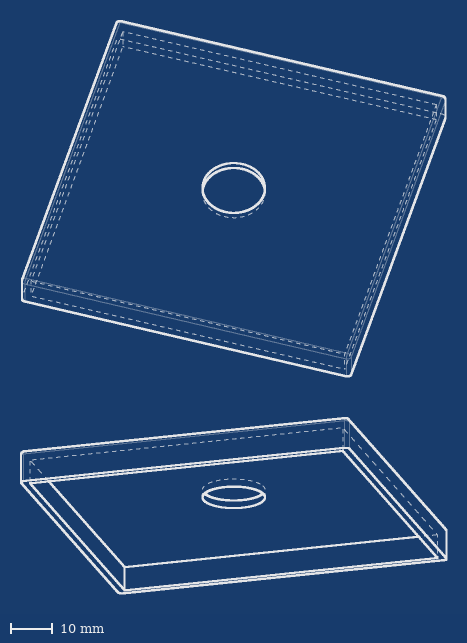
import cadquery as cq

side = 82.55
height = 7.9
wall = 2.0
edge_radius = 1.0
hole_diameter = 15.0

cover = cq.Workplane("XY").box(side, side, height, centered=(True, True, False))
cover = cover.edges("|Z or >Z").fillet(edge_radius)

inner_side = side - 2 * wall
cavity = cq.Workplane("XY").box(
    inner_side, inner_side, height - wall, centered=(True, True, False)
)

hole = cq.Workplane("XY").circle(hole_diameter / 2).extrude(height)

result = cover.cut(cavity).cut(hole)